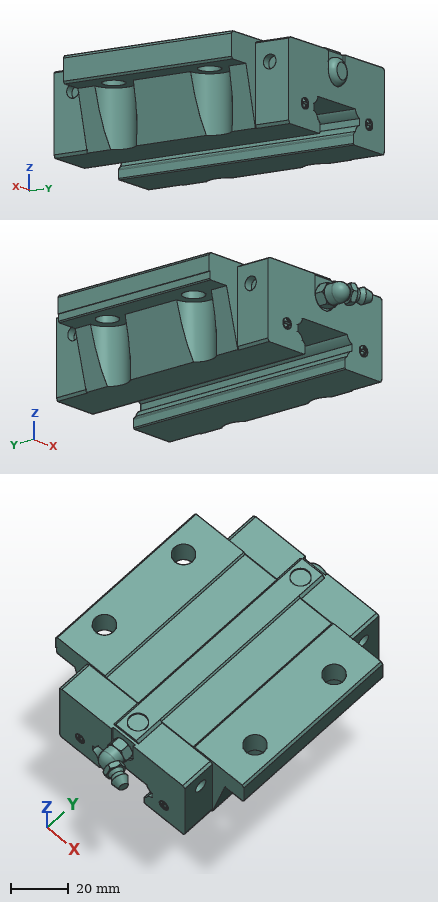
import cadquery as cq
import math


block_width = 90.0
block_length = 70.2
height = 32.0
wing_bottom = 22.0
wing_chamfer = 0.8
wing_top_chamfer_z = 1.0
ledge_height = 25.0
ledge_inset = 0.3
skirt_top_half = 35.9
skirt_bottom_half = 30.0

strip_half = 4.9
groove_outer_half = 21.4
groove_depth = 0.6
groove_slope = 0.7

bolt_spacing_x = 72.0
bolt_spacing_y = 40.0
bolt_hole_diameter = 8.5
scallop_radius = 8.0

cap_half = skirt_bottom_half
cap_end = 49.0
cap_top = 31.0
cap_top_chamfer_x = 1.1
cap_top_chamfer_z = 0.7
cap_bottom_chamfer_x = 0.7
cap_bottom_chamfer_z = 1.1
strip_end = 47.1
port_y = 41.1
top_port_diameter = 7.4
top_port_depth = 0.7
side_port_diameter = 5.2
side_port_z = 23.0
side_port_depth = 3.3

lube_z = 24.0
recess_radius = 5.2
recess_depth = 0.9
recess_floor = cap_end - recess_depth

rail_top = 13.0
rail_neck_half = 11.7
rail_waist_half = 14.3
rail_waist_top = 10.1
rail_waist_bottom = 7.6
rail_lip_top = 5.0
rail_lip_half = 10.4
rail_lip_bottom = 3.7
rail_lip_fillet = 0.7
rail_edge_chamfer = 0.5
rail_bulge = 0.5

screw_x = 20.0
screw_z = 9.0
screw_radius = 2.0
screw_rim = 0.3
screw_height = 0.8
cross_length = 3.2
cross_width = 0.8
cross_depth = 0.6

plug_end = 51.3
plug_base_radius = 5.1
plug_top_radius = 3.2

nipple_hex_flats = 7.9
nipple_hex_end = 52.2
elbow_radius = 3.8
elbow_y = 55.6
spout_angle = 22.5
spout_hex_flats = 7.0
spout_hex_start = 3.3
spout_hex_end = 5.5
hex_chamfer = 0.5
collar_radius = 3.0
neck_position = 7.0
neck_radius = 2.4
head_position = 9.0
head_radius = 3.2
tip_position = 12.1
tip_radius = 1.8


def extrude_along_y(sketch, y_start, y_end):
    """Extrude an XZ sketch, drawn at Y = 0, between two Y positions."""
    return sketch.extrude(y_start - y_end).translate((0, y_start, 0))


def mirrored_points(right_side):
    """Complete a profile by adding the mirror image of its right side."""
    return right_side + [(-x, z) for x, z in reversed(right_side)]


def make_block():
    half = block_width / 2
    groove_floor = height - groove_depth
    right_side = [
        (strip_half, height),
        (strip_half + groove_slope, groove_floor),
        (groove_outer_half - groove_slope, groove_floor),
        (groove_outer_half, height),
        (half - wing_chamfer, height),
        (half, height - wing_top_chamfer_z),
        (half, wing_bottom + wing_chamfer),
        (half - wing_chamfer, wing_bottom),
        (skirt_top_half, wing_bottom),
        (skirt_bottom_half, 0),
    ]
    profile = cq.Workplane("XZ").polyline(mirrored_points(right_side)).close()
    block = extrude_along_y(profile, -block_length / 2, block_length / 2)

    ledge = cq.Workplane("XY").box(ledge_inset, block_length, ledge_height, centered=(False, True, False))
    block = block.cut(ledge.translate((-half, 0, 0)))

    bolts = cq.Workplane("XY").rect(bolt_spacing_x, bolt_spacing_y, forConstruction=True).vertices()
    holes = bolts.circle(bolt_hole_diameter / 2).extrude(height)
    scallops = bolts.circle(scallop_radius).extrude(wing_bottom)
    return block.cut(holes).cut(scallops)


def make_rear_cap():
    right_side = [
        (cap_half - cap_top_chamfer_x, cap_top),
        (cap_half, cap_top - cap_top_chamfer_z),
        (cap_half, cap_bottom_chamfer_z),
        (cap_half - cap_bottom_chamfer_x, 0),
    ]
    profile = cq.Workplane("XZ").polyline(mirrored_points(right_side)).close()
    cap = extrude_along_y(profile, block_length / 2, cap_end)

    strip_side = [(strip_half, height), (strip_half + height - cap_top, cap_top)]
    strip = cq.Workplane("XZ").polyline(mirrored_points(strip_side)).close()
    cap = cap.union(extrude_along_y(strip, block_length / 2, strip_end))

    recess = (
        cq.Workplane("XZ")
        .moveTo(-recess_radius, height)
        .lineTo(-recess_radius, lube_z)
        .threePointArc((0, lube_z - recess_radius), (recess_radius, lube_z))
        .lineTo(recess_radius, height)
        .close()
    )
    cap = cap.cut(extrude_along_y(recess, recess_floor, cap_end))

    top_port = cq.Workplane("XY", origin=(0, port_y, height)).circle(top_port_diameter / 2)
    cap = cap.cut(top_port.extrude(-top_port_depth))
    side_port = cq.Workplane("YZ", origin=(cap_half, port_y, side_port_z)).circle(side_port_diameter / 2)
    side_port = side_port.extrude(-side_port_depth)
    cap = cap.cut(side_port).cut(side_port.mirror("YZ"))

    for side in (-1, 1):
        cap = cap.union(make_screw().translate((side * screw_x, cap_end, screw_z)))
    return cap


def make_screw():
    """Domed cross-head screw on the Y axis, seated at Y = 0."""
    dome_rise = screw_height - screw_rim
    dome_radius = (screw_radius**2 + dome_rise**2) / (2 * dome_rise)
    head = (
        cq.Workplane("XY")
        .lineTo(screw_radius, 0)
        .lineTo(screw_radius, screw_rim)
        .radiusArc((0, screw_height), -dome_radius)
        .close()
        .revolve(360, (0, 0), (0, 1))
    )
    slot = cq.Workplane("XZ").rect(cross_length, cross_width).extrude(-screw_height)
    cross = slot.union(cq.Workplane("XZ").rect(cross_width, cross_length).extrude(-screw_height))
    return head.cut(cross.translate((0, screw_height - cross_depth, 0)))


def bulge_point(start, end):
    """Middle of an arc that bows to the right of its chord, into the rail opening."""
    dx = end[0] - start[0]
    dz = end[1] - start[1]
    chord = math.hypot(dx, dz)
    middle_x = (start[0] + end[0]) / 2
    middle_z = (start[1] + end[1]) / 2
    return (middle_x + rail_bulge * dz / chord, middle_z - rail_bulge * dx / chord)


def make_rail_opening():
    """Half of the opening on +X and its mirror image; its flanks bow inward."""
    neck_top = (rail_neck_half, rail_top)
    waist_top = (rail_waist_half, rail_waist_top)
    waist_bottom = (rail_waist_half, rail_waist_bottom)
    neck_bottom = (rail_neck_half, rail_lip_top)
    profile = (
        cq.Workplane("XZ")
        .moveTo(0, rail_top)
        .lineTo(*neck_top)
        .threePointArc(bulge_point(neck_top, waist_top), waist_top)
        .lineTo(*waist_bottom)
        .threePointArc(bulge_point(waist_bottom, neck_bottom), neck_bottom)
        .lineTo(rail_lip_half, rail_lip_bottom)
        .lineTo(rail_lip_half, rail_edge_chamfer)
        .lineTo(rail_lip_half + rail_edge_chamfer, 0)
        .lineTo(0, 0)
        .close()
    )
    half_opening = extrude_along_y(profile, -cap_end, cap_end)
    lip_corner = cq.selectors.NearestToPointSelector((rail_lip_half, 0, rail_lip_bottom))
    half_opening = half_opening.edges("|Y").edges(lip_corner).fillet(rail_lip_fillet)
    return half_opening.union(half_opening.mirror("YZ"))


def make_plug():
    """Flat-topped dome; its flank arc passes through the middle of a quarter ellipse."""
    rise = plug_end - recess_floor
    step = plug_base_radius - plug_top_radius
    middle = (
        plug_top_radius + step * math.sin(math.pi / 4),
        recess_floor + rise * math.sin(math.pi / 4),
    )
    return (
        cq.Workplane("XY")
        .moveTo(0, recess_floor)
        .lineTo(plug_base_radius, recess_floor)
        .threePointArc(middle, (plug_top_radius, plug_end))
        .lineTo(0, plug_end)
        .close()
        .revolve(360, (0, 0), (0, 1))
        .translate((0, 0, lube_z))
    )


def make_hex(flats, start, end):
    """Hexagon along -Y with flats facing up and down, its corners chamfered at both ends."""
    corner_radius = flats / math.sqrt(3)
    prism = cq.Workplane("XZ").polygon(6, 2 * corner_radius).extrude(end - start)
    envelope = cq.Workplane("XZ").circle(corner_radius).extrude(end - start)
    envelope = envelope.faces("<Y or >Y").chamfer(hex_chamfer)
    return prism.intersect(envelope).translate((0, -start, 0))


def make_nipple():
    base_hex = make_hex(nipple_hex_flats, recess_floor, nipple_hex_end)
    stem = cq.Workplane("XZ").circle(elbow_radius).extrude(elbow_y - recess_floor)
    stem = stem.translate((0, -recess_floor, 0))
    elbow = cq.Workplane("XY").sphere(elbow_radius).translate((0, -elbow_y, 0))

    spout = (
        cq.Workplane("XY")
        .lineTo(neck_radius, 0)
        .lineTo(neck_radius, -spout_hex_start)
        .lineTo(collar_radius, -spout_hex_end)
        .lineTo(neck_radius, -neck_position)
        .lineTo(head_radius, -head_position)
        .lineTo(tip_radius, -tip_position)
        .lineTo(0, -tip_position)
        .close()
        .revolve(360, (0, 0), (0, 1))
        .union(make_hex(spout_hex_flats, spout_hex_start, spout_hex_end))
        .rotate((0, 0, 0), (0, 0, 1), 90 - spout_angle)
        .translate((0, -elbow_y, 0))
    )
    return base_hex.union(stem).union(elbow).union(spout).translate((0, 0, lube_z))


rear_cap = make_rear_cap()
front_cap = rear_cap.mirror("XZ")
carriage = make_block().union(rear_cap).union(front_cap).cut(make_rail_opening())
result = carriage.union(make_plug()).union(make_nipple())